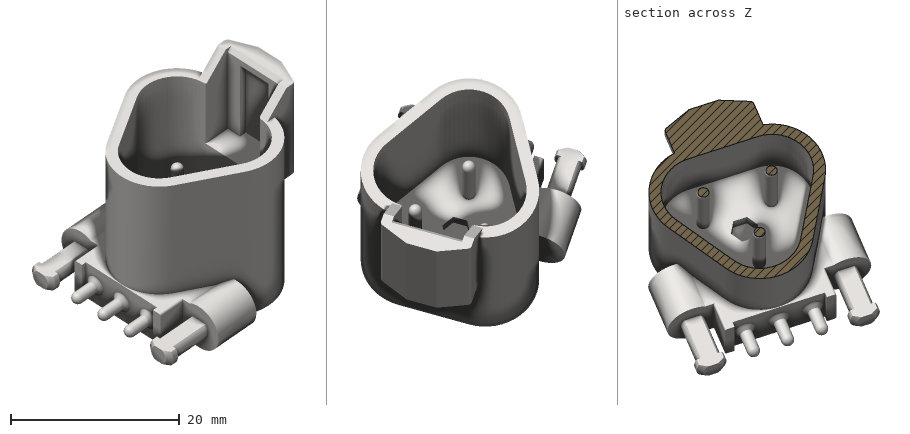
import cadquery as cq
import math


corner_radius = 6.37
corner_spacing = 8.8
wall = 1.48
cup_height = 22.5
floor_thickness = 5.53
triangle_height = corner_spacing * math.sqrt(3) / 2
back_corner_y = triangle_height / 3
front_corner_y = back_corner_y - triangle_height
inner_radius = corner_radius - wall
inner_back_y = back_corner_y + inner_radius

latch_width = 11.23
latch_back_y = 13.82
latch_flat_width = 3.72
latch_shoulder_y = 12.22
latch_shoulder_radius = 0.58
latch_bottom_z = 11.65
latch_top_z = 25.8
latch_slope_start_y = 10.83
latch_slot_width = 8.7
latch_slot_back_y = 11.15
latch_slot_floor_z = 13.12
slot_mouth_radius = 0.3
slot_lead_in_depth = 0.55
slot_lead_in_height = 0.6
recess_width = 4.65
recess_depth = 1.0
recess_top_z = 24.3

base_height = 5.53
base_back_y = -1.9
ear_front_y = -8.35
ear_radius = 3.2
ear_x = 9.7
axis_z = base_height / 2
foot_block_width = 14.08
foot_gap = 11.67
foot_front_y = -12.2
foot_edge_radius = 0.3
base_front_y = -11.52

front_end_y = -15.28
peg_thickness = 2.15
peg_shank_diameter = 3.0
peg_head_diameter = 3.78
peg_tip_diameter = 2.42
peg_head_back_y = -13.9
peg_chamfer_length = 0.55

pin_diameter = 1.57
pin_pitch = 4.3
collar_diameter = 2.68
collar_length = 0.47
contact_circle_radius = pin_pitch * 2 / math.sqrt(3)
contact_top_z = 13.1

hexagon_across_flats = 3.0
hexagon_depth = 1.45


def box(x_size, y_range, z_range):
    """Box centred on X that spans the given Y and Z ranges."""
    y_low, y_high = sorted(y_range)
    z_low, z_high = z_range
    return (
        cq.Workplane("XY")
        .box(x_size, y_high - y_low, z_high - z_low, centered=(True, False, False))
        .translate((0, y_low, z_low))
    )


def forward_cylinder(diameter, x, start_y, end_y):
    """Cylinder along -Y at the height of the ear axis."""
    return (
        cq.Workplane("XZ", origin=(x, start_y, axis_z))
        .circle(diameter / 2)
        .extrude(start_y - end_y)
    )


def rounded_triangle(radius, bottom_z, top_z):
    """Prism with equal arcs about the three corner centres."""
    half = corner_spacing / 2
    side_x = radius * math.cos(math.radians(30))
    side_y = radius * math.sin(math.radians(30))
    return (
        cq.Workplane("XY", origin=(0, 0, bottom_z))
        .moveTo(-half, back_corner_y + radius)
        .lineTo(half, back_corner_y + radius)
        .threePointArc(
            (half + side_x, back_corner_y + side_y),
            (half + side_x, back_corner_y - side_y),
        )
        .lineTo(side_x, front_corner_y - side_y)
        .threePointArc((0, front_corner_y - radius), (-side_x, front_corner_y - side_y))
        .lineTo(-half - side_x, back_corner_y - side_y)
        .threePointArc((-half - side_x, back_corner_y + side_y), (-half, back_corner_y + radius))
        .close()
        .extrude(top_z - bottom_z)
    )


def latch_body():
    """Roof-shaped prism whose side walls slope down to the cup rim."""
    half = latch_width / 2
    outline = [
        (-half, back_corner_y),
        (half, back_corner_y),
        (half, latch_shoulder_y),
        (latch_flat_width / 2, latch_back_y),
        (-latch_flat_width / 2, latch_back_y),
        (-half, latch_shoulder_y),
    ]
    shoulders = cq.selectors.BoxSelector(
        (-latch_width, latch_shoulder_y - latch_shoulder_radius, latch_bottom_z),
        (latch_width, latch_shoulder_y + latch_shoulder_radius, latch_top_z),
    )
    body = (
        cq.Workplane("XY", origin=(0, 0, latch_bottom_z))
        .polyline(outline)
        .close()
        .extrude(latch_top_z - latch_bottom_z)
        .edges("|Z")
        .edges(shoulders)
        .fillet(latch_shoulder_radius)
    )
    slope_end_y = latch_slope_start_y - (latch_top_z - cup_height)
    above_slope = (
        cq.Workplane("YZ")
        .polyline([
            (latch_slope_start_y, latch_top_z),
            (slope_end_y, cup_height),
            (back_corner_y, cup_height),
            (back_corner_y, latch_top_z),
        ])
        .close()
        .extrude(half, both=True)
    )
    return body.cut(above_slope)


def latch_slot():
    """Slot behind the cup cavity: rounded mouth, lead-in bevel at the top and back recess."""
    half = latch_slot_width / 2
    mouth_half = half + slot_mouth_radius
    mouth_end_y = inner_back_y + slot_mouth_radius
    slot = (
        cq.Workplane("XY", origin=(0, 0, latch_slot_floor_z))
        .moveTo(-mouth_half, back_corner_y)
        .lineTo(mouth_half, back_corner_y)
        .lineTo(mouth_half, inner_back_y)
        .radiusArc((half, mouth_end_y), slot_mouth_radius)
        .lineTo(half, latch_slot_back_y)
        .lineTo(-half, latch_slot_back_y)
        .lineTo(-half, mouth_end_y)
        .radiusArc((-mouth_half, inner_back_y), slot_mouth_radius)
        .close()
        .extrude(latch_top_z - latch_slot_floor_z)
    )
    lead_in = (
        cq.Workplane("YZ")
        .polyline([
            (latch_slot_back_y, latch_top_z - slot_lead_in_height),
            (latch_slot_back_y + slot_lead_in_depth, latch_top_z),
            (latch_slot_back_y, latch_top_z),
        ])
        .close()
        .extrude(half, both=True)
    )
    recess = box(
        recess_width,
        (latch_slot_back_y, latch_slot_back_y + recess_depth),
        (latch_slot_floor_z, recess_top_z),
    )
    return slot.union(lead_in).union(recess)


def cup_with_latch():
    """Hollow cup whose cavity opens into the latch slot."""
    cavity = rounded_triangle(inner_radius, floor_thickness, latch_top_z)
    body = rounded_triangle(corner_radius, 0, cup_height).union(latch_body())
    return body.cut(cavity).cut(latch_slot())


def base():
    """Web joining the ears, with a pair of feet on its front."""
    web = box(2 * ear_x, (base_back_y, ear_front_y), (0, base_height))
    feet = (
        box(foot_block_width, (base_back_y, foot_front_y), (0, base_height))
        .edges("|Y")
        .fillet(foot_edge_radius)
        .cut(box(foot_gap, (base_front_y, foot_front_y), (0, base_height)))
    )
    body = web.union(feet)
    for x in (-ear_x, ear_x):
        body = body.union(forward_cylinder(2 * ear_radius, x, base_back_y, ear_front_y))
    return body


def snap_peg(x):
    """Flattened peg with a wider head and a conical tip."""
    shank = forward_cylinder(peg_shank_diameter, x, ear_front_y, peg_head_back_y)
    head = (
        forward_cylinder(peg_head_diameter, x, peg_head_back_y, front_end_y)
        .faces("<Y")
        .chamfer(peg_chamfer_length, (peg_head_diameter - peg_tip_diameter) / 2)
    )
    flats = box(
        peg_head_diameter,
        (ear_front_y, front_end_y),
        (axis_z - peg_thickness / 2, axis_z + peg_thickness / 2),
    ).translate((x, 0, 0))
    return shank.union(head).intersect(flats)


def solder_pin(x):
    """Horizontal pin with a conical collar and a domed end."""
    radius = pin_diameter / 2
    profile = (
        cq.Workplane("XY", origin=(x, base_front_y, axis_z))
        .lineTo(collar_diameter / 2, 0)
        .lineTo(radius, -collar_length)
        .lineTo(radius, front_end_y - base_front_y + radius)
        .radiusArc((0, front_end_y - base_front_y), radius)
        .close()
    )
    return profile.revolve(360, (0, 0, 0), (0, 1, 0))


def contact(angle):
    """Domed contact standing on the cup floor at the given angle."""
    x = contact_circle_radius * math.cos(math.radians(angle))
    y = contact_circle_radius * math.sin(math.radians(angle))
    radius = pin_diameter / 2
    shaft_top_z = contact_top_z - radius
    shaft = (
        cq.Workplane("XY", origin=(x, y, floor_thickness))
        .circle(radius)
        .extrude(shaft_top_z - floor_thickness)
    )
    dome = cq.Workplane("XY", origin=(x, y, shaft_top_z)).sphere(radius)
    return shaft.union(dome)


result = cup_with_latch().union(base())
for peg_x in (-ear_x, ear_x):
    result = result.union(snap_peg(peg_x))
for pin_x in (-pin_pitch, 0, pin_pitch):
    result = result.union(solder_pin(pin_x))
for contact_angle in (30, 150, 270):
    result = result.union(contact(contact_angle))

hexagon_pocket = (
    cq.Workplane("XY", origin=(0, 0, floor_thickness - hexagon_depth))
    .polygon(6, hexagon_across_flats / math.cos(math.radians(30)))
    .extrude(hexagon_depth)
)
result = result.cut(hexagon_pocket)